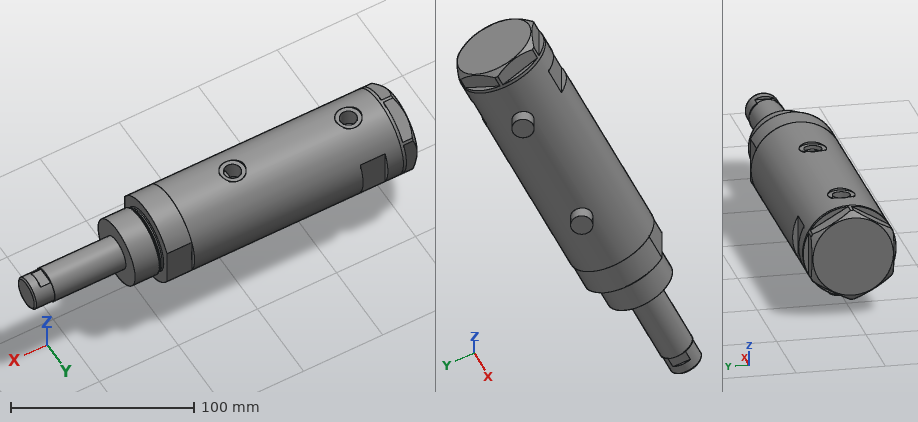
import cadquery as cq
import math

body_radius = 26.0
flat_half_width = 23.0
cut_size = 4 * body_radius

hex_end = 9.0
flange_end = 10.8
plug_end = 39.8
spigot_start = 106.0
barrel_end = 142.9
shoulder_end = 158.5
groove_start = 159.3
groove_end = 160.2
neck_end = 161.0
collar_start = 161.5
collar_end = 177.0
rod_shoulder = 221.8
rod_flat_end = 228.0
rod_end = 234.2

hex_face_radius = 22.5
hex_chamfer_length = 2.8
bore_radius = 14.5

barrel_flat_start = 20.5
barrel_flat_end = 36.3
spigot_radius = 22.7
port_positions = [30.5, 103.8]
port_radius = 5.0
spotface_radius = 7.5
spotface_height = 24.8
boss_positions = [35.1, 106.5]
boss_radius = 6.0
boss_bottom = -33.5

neck_radius = 19.5
groove_radius = 19.0
collar_radius = 20.1

rod_radius = 10.0
rod_tip_radius = 9.5
rod_flat_height = 8.0
rod_tip_chamfer = 1.0


def turned(profile):
    """Revolve a closed (x, radius) profile about the X axis."""
    return cq.Workplane("XZ").polyline(profile).close().revolve(360, (0, 0, 0), (1, 0, 0))


def flat_cutters(start, end, distance, direction):
    """Pair of blocks that leave opposite flats at the given distance along Y or Z."""
    cutters = cq.Workplane("XY")
    for side in (-1, 1):
        offset = direction * (side * (distance + cut_size / 2))
        center = offset + cq.Vector((start + end) / 2, 0, 0)
        cutters = cutters.add(cq.Workplane("XY").box(end - start, cut_size, cut_size).translate(center))
    return cutters.combine()


def make_cap():
    """Hex cap with a chamfered face, a round flange and a plug that closes the bore."""
    blank = turned([
        (0, 0),
        (0, hex_face_radius),
        (hex_chamfer_length, body_radius),
        (flange_end, body_radius),
        (flange_end, bore_radius),
        (plug_end, bore_radius),
        (plug_end, 0),
    ])
    hex_corner_diameter = 2 * flat_half_width / math.cos(math.pi / 6)
    hexagon = (
        cq.Workplane("YZ")
        .polygon(6, hex_corner_diameter)
        .extrude(hex_end)
        .rotate((0, 0, 0), (1, 0, 0), 30)
    )
    hex_waste = cq.Workplane("YZ").circle(cut_size).extrude(hex_end).cut(hexagon)
    return blank.cut(hex_waste)


def make_barrel():
    """Tube with wrench flats, two spotfaced ports on top and two bosses below."""
    barrel = turned([
        (flange_end, bore_radius),
        (flange_end, body_radius),
        (barrel_end, body_radius),
        (barrel_end, spigot_radius),
        (spigot_start, spigot_radius),
        (spigot_start, bore_radius),
    ])
    barrel = barrel.cut(flat_cutters(barrel_flat_start, barrel_flat_end, flat_half_width, cq.Vector(0, 1, 0)))
    for x in port_positions:
        spotface = cq.Workplane("XY", origin=(x, 0, spotface_height)).circle(spotface_radius).extrude(body_radius)
        port = cq.Workplane("XY", origin=(x, 0, 0)).circle(port_radius).extrude(body_radius)
        barrel = barrel.cut(spotface).cut(port)
    boss_root = -(spigot_radius + body_radius) / 2
    for x in boss_positions:
        boss = cq.Workplane("XY", origin=(x, 0, boss_bottom)).circle(boss_radius).extrude(boss_root - boss_bottom)
        barrel = barrel.union(boss)
    return barrel


def make_head():
    """Rod guide: spigot in the barrel, flatted shoulder, grooved neck and collar."""
    head = turned([
        (spigot_start, rod_radius),
        (spigot_start, spigot_radius),
        (barrel_end, spigot_radius),
        (barrel_end, body_radius),
        (shoulder_end, body_radius),
        (shoulder_end, neck_radius),
        (groove_start, groove_radius),
        (groove_end, groove_radius),
        (neck_end, neck_radius),
        (collar_start, neck_radius),
        (collar_start, collar_radius),
        (collar_end, collar_radius),
        (collar_end, rod_radius),
    ])
    return head.cut(flat_cutters(barrel_end, shoulder_end, flat_half_width, cq.Vector(0, 1, 0)))


def make_rod():
    """Round rod with a reduced, chamfered tip that carries two flats."""
    rod = turned([
        (plug_end, 0),
        (plug_end, rod_radius),
        (rod_shoulder, rod_radius),
        (rod_shoulder, rod_tip_radius),
        (rod_end - rod_tip_chamfer, rod_tip_radius),
        (rod_end, rod_tip_radius - rod_tip_chamfer),
        (rod_end, 0),
    ])
    return rod.cut(flat_cutters(rod_shoulder, rod_flat_end, rod_flat_height, cq.Vector(0, 0, 1)))


cap = make_cap()
barrel = make_barrel()
head = make_head()
rod = make_rod()

result = cq.Compound.makeCompound([cap.val(), barrel.val(), head.val(), rod.val()])